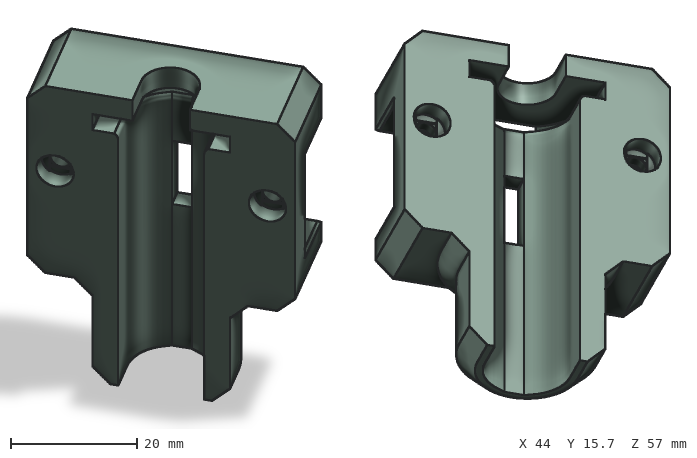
import cadquery as cq

WIDTH = 44.0
DEPTH = 15.7
HEIGHT = 57.0
BLOCK_HEIGHT = 37.05
CHAMFER = 2.95
BLOCK_BOTTOM = HEIGHT - BLOCK_HEIGHT

AXIS_Y = 5.35
STEM_RADIUS = 11.3
BORE_RADIUS = 7.05
NECK_RADIUS = 4.75

LIP_THICKNESS = 4.05
GROOVE_HEIGHT = 3.15
MOUTH_RADIUS = 1.3
MOUTH_TRIM = 0.15
GROOVE_TOP = HEIGHT - LIP_THICKNESS
GROOVE_FLOOR = GROOVE_TOP - GROOVE_HEIGHT

FLAT_WIDTH = 3.25
TANGENT_WIDTH = 5.85
WINDOW_HEIGHT = 12.55
WINDOW_TOP = HEIGHT - 16.4

FLANGE_THICKNESS = 5.8
POCKET_HEIGHT = 19.6
POCKET_TOP = HEIGHT - 10.1
POCKET_FLARE = 0.5
POCKET_MID_Z = POCKET_TOP - POCKET_HEIGHT / 2

SCREW_X = 17.45
SCREW_Z = HEIGHT - 16.55
HEAD_DIAMETER = 6.1
HEAD_DEPTH = 3.0
SCREW_DIAMETER = 3.5
STEP_DEPTH = 0.3

OVERCUT = 5.7
PICK_MARGIN = 0.05


def u_section(radius, z):
    """U-shaped outline on the shared axis, closed off straight at y = 0."""
    return (
        cq.Workplane("XY", origin=(0, 0, z))
        .moveTo(-radius, 0)
        .lineTo(-radius, AXIS_Y)
        .threePointArc((0, AXIS_Y + radius), (radius, AXIS_Y))
        .lineTo(radius, 0)
        .close()
    )


def u_prism(radius, z_low, z_high):
    return u_section(radius, z_low).extrude(z_high - z_low)


def u_cone(radius_low, radius_high, z_low, z_high):
    low = u_section(radius_low, z_low).wires().val()
    high = u_section(radius_high, z_high).wires().val()
    return cq.Workplane(cq.Solid.makeLoft([low, high], True))


def box(x_size, y_low, y_high, z_low, z_high):
    """Box centred in X that spans the given ranges in Y and Z."""
    return cq.Workplane("XY", origin=(0, y_low, z_low)).box(
        x_size, y_high - y_low, z_high - z_low, centered=(True, False, False)
    )


def block():
    return box(WIDTH, 0, DEPTH, BLOCK_BOTTOM, HEIGHT).edges("|Y").chamfer(CHAMFER)


def stem():
    """Round-backed stem, tapered at its foot and flared into the block, cut flat at the back."""
    tip_radius = STEM_RADIUS - CHAMFER
    flare_radius = STEM_RADIUS + CHAMFER
    shaft = u_prism(STEM_RADIUS, CHAMFER, BLOCK_BOTTOM + CHAMFER)
    foot = u_cone(tip_radius, STEM_RADIUS, 0, CHAMFER)
    flare = u_cone(STEM_RADIUS, flare_radius, BLOCK_BOTTOM - CHAMFER, BLOCK_BOTTOM)
    back_limit = box(WIDTH, 0, DEPTH, 0, HEIGHT)
    return shaft.union(foot).union(flare).intersect(back_limit)


def bore():
    """U-shaped bore whose back is eased to a narrow flat by two tangent faces."""
    tangent_x = TANGENT_WIDTH / 2
    tangent_y = AXIS_Y + (BORE_RADIUS**2 - tangent_x**2) ** 0.5
    back_y = AXIS_Y + BORE_RADIUS
    mid_y = (AXIS_Y + tangent_y) / 2
    mid_x = (BORE_RADIUS**2 - (mid_y - AXIS_Y) ** 2) ** 0.5
    return (
        cq.Workplane("XY")
        .moveTo(-BORE_RADIUS, -OVERCUT)
        .lineTo(-BORE_RADIUS, AXIS_Y)
        .threePointArc((-mid_x, mid_y), (-tangent_x, tangent_y))
        .lineTo(-FLAT_WIDTH / 2, back_y)
        .lineTo(FLAT_WIDTH / 2, back_y)
        .lineTo(tangent_x, tangent_y)
        .threePointArc((mid_x, mid_y), (BORE_RADIUS, AXIS_Y))
        .lineTo(BORE_RADIUS, -OVERCUT)
        .close()
        .extrude(GROOVE_TOP)
    )


def side_pocket(side):
    """Pocket on one side (-1 or +1) with 45 degree flares at its side and back openings."""
    outer_x = side * WIDTH / 2
    inner_x = side * STEM_RADIUS
    inner_flare_x = inner_x - side * POCKET_FLARE
    half = POCKET_HEIGHT / 2
    half_flared = half + POCKET_FLARE
    profile = [
        (inner_x, half),
        (outer_x - side * POCKET_FLARE, half),
        (outer_x, half_flared),
        (outer_x, -half_flared),
        (outer_x - side * POCKET_FLARE, -half),
        (inner_x, -half),
    ]
    pocket = (
        cq.Workplane("XZ", origin=(0, FLANGE_THICKNESS, POCKET_MID_Z))
        .polyline(profile)
        .close()
        .extrude(FLANGE_THICKNESS - DEPTH)
    )
    flare_span = outer_x - inner_flare_x + side * OVERCUT
    back_flare = (
        cq.Workplane("XZ", origin=(inner_flare_x + flare_span / 2, DEPTH, POCKET_MID_Z))
        .rect(abs(flare_span), 2 * half_flared)
        .extrude(POCKET_FLARE, taper=45)
    )
    return pocket.union(back_flare)


def screw_hole(x):
    """Counterbored hole with a full-height slot and then a square between head and shank."""
    slot_end = HEAD_DEPTH + STEP_DEPTH
    square_end = slot_end + STEP_DEPTH
    front = cq.Workplane("XZ", origin=(x, 0, SCREW_Z))
    head = front.circle(HEAD_DIAMETER / 2).extrude(-HEAD_DEPTH)
    slot = (
        front.rect(SCREW_DIAMETER, HEAD_DIAMETER)
        .extrude(-slot_end)
        .intersect(front.circle(HEAD_DIAMETER / 2).extrude(-slot_end))
    )
    square = front.rect(SCREW_DIAMETER, SCREW_DIAMETER).extrude(-square_end)
    shank = front.circle(SCREW_DIAMETER / 2).extrude(-FLANGE_THICKNESS)
    return head.union(slot).union(square).union(shank)


def round_bore_mouth(body, mouth_z):
    """Fillet the bore edges that lie in the horizontal plane z = mouth_z."""
    reach = BORE_RADIUS + PICK_MARGIN
    mouth_edges = cq.selectors.BoxSelector(
        (-reach, 0, mouth_z - PICK_MARGIN),
        (reach, AXIS_Y + reach, mouth_z + PICK_MARGIN),
    )
    return body.edges(mouth_edges).edges("#Z").fillet(MOUTH_RADIUS)


result = block().union(stem())

mouth_z = GROOVE_FLOOR + MOUTH_TRIM
result = result.cut(u_prism(STEM_RADIUS, mouth_z, GROOVE_TOP)).cut(bore())
result = round_bore_mouth(result, mouth_z)
result = result.cut(u_prism(STEM_RADIUS, GROOVE_FLOOR, GROOVE_TOP))

result = result.cut(u_prism(NECK_RADIUS, GROOVE_TOP, HEIGHT))

result = result.cut(box(FLAT_WIDTH, AXIS_Y, DEPTH, WINDOW_TOP - WINDOW_HEIGHT, WINDOW_TOP))

for side in (-1, 1):
    result = result.cut(side_pocket(side)).cut(screw_hole(side * SCREW_X))